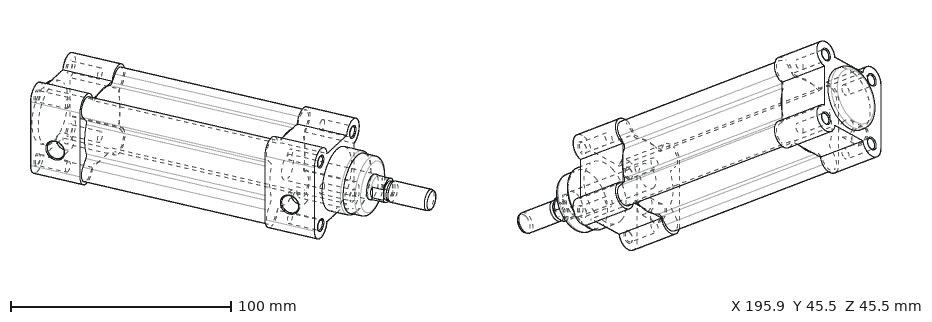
import cadquery as cq
import math


rear_boss_length = 4.0
cap_length = 25.0
barrel_length = 93.9
front_boss_length = 10.2
nose_end_projection = 18.0
shoulder_projection = 26.0
thread_length = 22.0

rear_cap_x = rear_boss_length
barrel_x = rear_cap_x + cap_length
front_cap_x = barrel_x + barrel_length
front_face_x = front_cap_x + cap_length
nose_end_x = front_face_x + nose_end_projection
shoulder_x = front_face_x + shoulder_projection
tip_x = shoulder_x + thread_length

bolt_pitch = 32.5
cap_lobe_radius = 6.5
cap_flat = 17.5
bolt_offset = bolt_pitch / 2
port_side = bolt_offset + cap_lobe_radius

bolt_hole_diameter = 5.0
bolt_mouth_diameter = 6.0
bolt_hole_depth = 15.7
port_diameter = 8.6
port_mouth_diameter = 9.6
port_depth = 9.8
port_drop = 5.7

boss_diameter = 30.0
nose_diameter = 28.0
boss_step_round = 0.8
end_round = 2.0

barrel_diameter = 36.0
barrel_lobe_diameter = 10.0
web_fillet = 2.0
tolerance = 0.02

rod_diameter = 12.0
collar_projection = 0.5
wrench_diameter = 11.4
thread_diameter = 10.0
neck_diameter = 9.0
neck_length = 1.2
neck_taper_length = 1.2
tip_diameter = 9.0
tip_chamfer_length = 1.2
wrench_section_length = 6.0
wrench_width = 10.0
flat_length = 5.5

BOLT_CENTRES = [(y, z) for y in (-bolt_offset, bolt_offset) for z in (-bolt_offset, bolt_offset)]


def cylinder_x(x_start, x_end, diameter):
    """Round bar on the cylinder axis."""
    return cq.Workplane("YZ", origin=(x_start, 0, 0)).circle(diameter / 2).extrude(x_end - x_start)


def block_between(x_start, x_end, y_range, z_range):
    """Rectangular block given by its limits."""
    size = (x_end - x_start, y_range[1] - y_range[0], z_range[1] - z_range[0])
    corner = (x_start, y_range[0], z_range[0])
    return cq.Workplane("XY", origin=corner).box(*size, centered=False)


def chamfered_hole(mouth, direction, diameter, mouth_diameter, depth):
    """Cutter for a blind hole with a 45 degree chamfer at its mouth."""
    point = cq.Vector(*mouth)
    axis = cq.Vector(*direction)
    chamfer = (mouth_diameter - diameter) / 2
    bore = cq.Solid.makeCylinder(diameter / 2, depth, point, axis)
    countersink = cq.Solid.makeCone(mouth_diameter / 2, diameter / 2, chamfer, point, axis)
    return cq.Workplane(bore.fuse(countersink))


def make_cap_block(x_start, outer_face_x, outward):
    """Cap body with four bolt lobes, bolt holes in its outer face and the air port."""
    x_end = x_start + cap_length
    block = block_between(x_start, x_end, (-bolt_offset, cap_flat), (-cap_flat, cap_flat))
    block = block.union(block_between(x_start, x_end, (-port_side, 0), (-bolt_offset, bolt_offset)))
    lobes = cq.Workplane("YZ", origin=(x_start, 0, 0)).pushPoints(BOLT_CENTRES)
    block = block.union(lobes.circle(cap_lobe_radius).extrude(cap_length))

    for y, z in BOLT_CENTRES:
        block = block.cut(chamfered_hole(
            (outer_face_x, y, z), (-outward, 0, 0), bolt_hole_diameter, bolt_mouth_diameter, bolt_hole_depth
        ))
    port_mouth = (x_start + cap_length / 2, -port_side, -port_drop)
    return block.cut(chamfered_hole(port_mouth, (0, 1, 0), port_diameter, port_mouth_diameter, port_depth))


def make_rear_cap():
    """End cap with a short rounded centring boss."""
    boss = cylinder_x(0, rear_cap_x, boss_diameter).faces("<X").edges().fillet(end_round)
    return make_cap_block(rear_cap_x, rear_cap_x, -1).union(boss)


def make_front_cap():
    """Rod-side cap with a stepped boss, a rounded nose and a through bore for the rod."""
    boss_end_x = front_face_x + front_boss_length
    boss = cylinder_x(front_face_x, boss_end_x, boss_diameter).faces(">X").edges().fillet(boss_step_round)
    nose = cylinder_x(front_face_x, nose_end_x, nose_diameter).faces(">X").edges().fillet(end_round)
    cap = make_cap_block(front_cap_x, front_face_x, 1).union(boss).union(nose)
    return cap.cut(cylinder_x(front_cap_x, nose_end_x, rod_diameter))


def make_barrel():
    """Round body joined to four tie-rod lobes by diagonal webs as wide as the lobes."""
    body = cylinder_x(barrel_x, front_cap_x, barrel_diameter)
    web_span = 2 * math.hypot(bolt_offset, bolt_offset)
    for angle in (45, 135):
        web = (
            cq.Workplane("YZ", origin=(barrel_x, 0, 0))
            .transformed(rotate=(0, 0, angle))
            .rect(web_span, barrel_lobe_diameter)
            .extrude(barrel_length)
        )
        body = body.union(web)

    def is_web_root(edge):
        centre = edge.Center()
        on_surface = abs(math.hypot(centre.y, centre.z) - barrel_diameter / 2) < tolerance
        return on_surface and min(abs(centre.y), abs(centre.z)) > tolerance

    body = body.edges("|X").filter(is_web_root).fillet(web_fillet)
    lobes = cq.Workplane("YZ", origin=(barrel_x, 0, 0)).pushPoints(BOLT_CENTRES)
    return body.union(lobes.circle(barrel_lobe_diameter / 2).extrude(barrel_length))


def turn_rod():
    """Round rod, tapered to its wrench section, with a neck behind the thread."""
    neck_end_x = shoulder_x + neck_length
    wrench_x = shoulder_x - wrench_section_length
    profile = [
        (front_cap_x, 0),
        (front_cap_x, rod_diameter / 2),
        (nose_end_x + collar_projection, rod_diameter / 2),
        (wrench_x, wrench_diameter / 2),
        (shoulder_x, wrench_diameter / 2),
        (shoulder_x, neck_diameter / 2),
        (neck_end_x, neck_diameter / 2),
        (neck_end_x + neck_taper_length, thread_diameter / 2),
        (tip_x - tip_chamfer_length, thread_diameter / 2),
        (tip_x, tip_diameter / 2),
        (tip_x, 0),
    ]
    return cq.Workplane("XY").polyline(profile).close().revolve(360, (0, 0, 0), (1, 0, 0))


def make_piston_rod():
    """Turned rod with two wrench flats behind its shoulder."""
    flat_x = shoulder_x - flat_length
    flat_y = wrench_width / 2
    runout = rod_diameter / 2 - flat_y
    flat_profile = [
        (shoulder_x, flat_y),
        (flat_x, flat_y),
        (flat_x - runout, flat_y + runout),
        (shoulder_x, flat_y + runout),
    ]
    cutter = cq.Workplane("XY").polyline(flat_profile).close().extrude(rod_diameter / 2, both=True)
    return turn_rod().cut(cutter).cut(cutter.mirror("XZ"))


rear_cap = make_rear_cap()
barrel = make_barrel()
front_cap = make_front_cap()
piston_rod = make_piston_rod()

result = cq.Compound.makeCompound([rear_cap.val(), barrel.val(), front_cap.val(), piston_rod.val()])